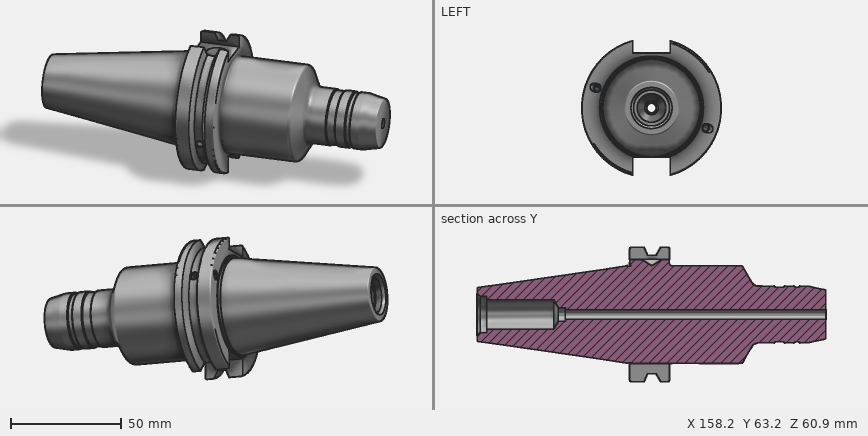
import cadquery as cq
import math

length = 158.2

gauge_radius = 44.5 / 2
taper_length = 68.2
taper_slope = 7 / 48
taper_end_round = 0.8
neck_radius = 43.8 / 2

flange_start = 69.2
flange_end = 87.4
flange_radius = 31.6
flange_round = 1.0
undercut_radius = 23.6
undercut_floor_radius = 22.8
undercut_depth = 0.5
groove_left = 75.8
groove_floor_left = 77.4
groove_floor_right = 81.2
groove_right = 83.2
groove_floor_radius = 28.2

root_fillet = 1.0
body_radius = 44.5 / 2
shoulder_corner = 120.3
shoulder_angle = math.radians(60)
shoulder_outer_round = 1.7
shoulder_inner_round = 3.2

nose_radius = 26.0 / 2
nose_groove_radius = 25.0 / 2
nose_grooves = [(134.7, 139.4), (143.7, 146.4)]
groove_wall_run = 0.5
nose_taper_start = 150.2
nose_end_radius = 11.2
nose_end_round = 1.0

mouth_radius = 9.3
mouth_depth = 1.6
pilot_radius = 16.3 / 2
pilot_depth = 4.5
thread_radius = 13.0 / 2
thread_depth = 34.8
drill_half_angle = math.radians(59)
step_radius = 6.0 / 2
step_length = 3.2
coolant_radius = 4.3 / 2

slot_width = 16.8
upper_slot_floor = 25.0
lower_slot_floor = 22.3
dimple_x = 79.3
dimple_radius = 9.5 / 2
dimple_half_angle = math.radians(60)

passage_turn = 20.0
port_circle_radius = 27.0
port_tilt = math.radians(36)
port_radius = 4.0 / 2
port_depth = 1.6
port_passage_length = 12.7
passage_radius = 3.2 / 2
plug_x = 79.3
plug_radius = 4.0 / 2
plug_floor_radius = 27.5
passage_inner_radius = 12.7


def revolve_profile(profile):
    """Turn a closed (x, radius) outline about the X axis."""
    return profile.close().revolve(360, (0, 0, 0), (1, 0, 0))


def circles_at(x):
    """Select the circular edges lying in the plane across the axis at x."""
    tolerance = 0.2
    reach = 2 * flange_radius
    return cq.selectors.BoxSelector((x - tolerance, -reach, -reach), (x + tolerance, reach, reach))


def cylinder(radius, height, origin, direction):
    solid = cq.Solid.makeCylinder(radius, height, cq.Vector(*origin), cq.Vector(*direction))
    return cq.Workplane(solid)


def make_shank_and_flange():
    end_radius = gauge_radius - taper_length * taper_slope
    undercut_floor = flange_start + undercut_depth
    profile = (
        cq.Workplane("XY")
        .lineTo(0, end_radius)
        .lineTo(taper_length, gauge_radius)
        .lineTo(taper_length, neck_radius)
        .lineTo(undercut_floor, neck_radius)
        .lineTo(undercut_floor, undercut_floor_radius)
        .lineTo(flange_start, undercut_radius)
        .lineTo(flange_start, flange_radius)
        .lineTo(groove_left, flange_radius)
        .lineTo(groove_floor_left, groove_floor_radius)
        .lineTo(groove_floor_right, groove_floor_radius)
        .lineTo(groove_right, flange_radius)
        .lineTo(flange_end, flange_radius)
        .lineTo(flange_end, 0)
    )
    shank = revolve_profile(profile)
    shank = shank.faces("<X").edges().fillet(taper_end_round)
    for x in (flange_start, flange_end):
        outer_rim = cq.selectors.RadiusNthSelector(-1)
        shank = shank.edges(circles_at(x)).edges(outer_rim).fillet(flange_round)
    return shank


def make_body_and_nose():
    shoulder_run = (body_radius - nose_radius) / math.tan(shoulder_angle)
    shoulder_end = shoulder_corner + shoulder_run
    profile = (
        cq.Workplane("XY")
        .moveTo(flange_end, 0)
        .lineTo(flange_end, body_radius + root_fillet)
        .radiusArc((flange_end + root_fillet, body_radius), -root_fillet)
        .lineTo(shoulder_corner, body_radius)
        .lineTo(shoulder_end, nose_radius)
    )
    for start, end in nose_grooves:
        profile = (
            profile.lineTo(start, nose_radius)
            .lineTo(start + groove_wall_run, nose_groove_radius)
            .lineTo(end - groove_wall_run, nose_groove_radius)
            .lineTo(end, nose_radius)
        )
    profile = (
        profile.lineTo(nose_taper_start, nose_radius)
        .lineTo(length, nose_end_radius)
        .lineTo(length, 0)
    )
    body = revolve_profile(profile)
    body = body.faces(">X").edges().fillet(nose_end_round)
    for x, radius in ((shoulder_corner, shoulder_outer_round), (shoulder_end, shoulder_inner_round)):
        body = body.edges(circles_at(x)).fillet(radius)
    return body


def make_bore():
    cone_end = thread_depth + (thread_radius - step_radius) / math.tan(drill_half_angle)
    step_end = cone_end + step_length
    profile = (
        cq.Workplane("XY")
        .lineTo(0, mouth_radius)
        .lineTo(mouth_depth, pilot_radius)
        .lineTo(pilot_depth, pilot_radius)
        .lineTo(pilot_depth, thread_radius)
        .lineTo(thread_depth, thread_radius)
        .lineTo(cone_end, step_radius)
        .lineTo(step_end, step_radius)
        .lineTo(step_end, coolant_radius)
        .lineTo(length, coolant_radius)
        .lineTo(length, 0)
    )
    return revolve_profile(profile)


def make_drive_slot(floor):
    slot_length = flange_end + root_fillet - flange_start
    slot_height = flange_radius
    slot = cq.Workplane("XY").box(slot_length, slot_width, slot_height, centered=(False, True, False))
    return slot.translate((flange_start, 0, floor))


def make_dimple():
    depth = dimple_radius / math.tan(dimple_half_angle)
    cone = cq.Solid.makeCone(
        dimple_radius, 0, depth, cq.Vector(dimple_x, 0, upper_slot_floor), cq.Vector(0, 0, -1)
    )
    return cq.Workplane(cone)


def make_coolant_passage():
    """Tilted face port and plugged radial drilling, laid out along +Y."""
    port_origin = (flange_start, port_circle_radius, 0)
    port_axis = (math.cos(port_tilt), -math.sin(port_tilt), 0)
    lead = port_radius * math.tan(port_tilt)
    lead_origin = (port_origin[0] - lead * port_axis[0], port_origin[1] - lead * port_axis[1], 0)
    port = cylinder(port_radius, lead + port_depth, lead_origin, port_axis)
    port = port.union(cylinder(passage_radius, port_passage_length, port_origin, port_axis))

    plug_length = flange_radius - plug_floor_radius
    plug = cylinder(plug_radius, plug_length, (plug_x, plug_floor_radius, 0), (0, 1, 0))
    radial_length = plug_floor_radius - passage_inner_radius
    radial = cylinder(passage_radius, radial_length, (plug_x, passage_inner_radius, 0), (0, 1, 0))
    return port.union(plug).union(radial)


result = make_shank_and_flange().union(make_body_and_nose()).cut(make_bore())
result = result.cut(make_drive_slot(upper_slot_floor))
result = result.cut(make_drive_slot(lower_slot_floor).rotate((0, 0, 0), (1, 0, 0), 180))
result = result.cut(make_dimple())
for turn in (passage_turn, passage_turn + 180):
    result = result.cut(make_coolant_passage().rotate((0, 0, 0), (1, 0, 0), turn))